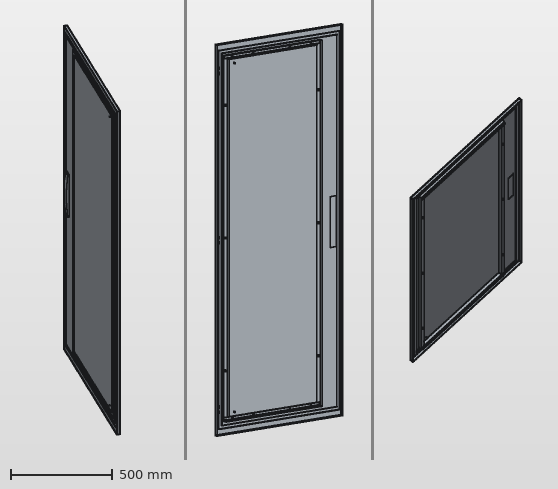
import cadquery as cq

DOOR_WIDTH = 760.0
DOOR_HEIGHT = 1984.0
DOOR_DEPTH = 16.5
SHEET = 1.5

GASKET_LEFT = 14.0
GASKET_RIGHT = 18.0
GASKET_END = 32.0
GASKET_WIDTH = 15.0
GASKET_BACK = 10.0

FRAME_LEFT = 123.0
FRAME_RIGHT = 55.0
FRAME_END = 63.0
FRAME_BAR = 20.0
FRAME_BACK = 19.5

STRIP_END = 67.0
STRIP_HEIGHT = 14.0
STRIP_CHAMFER = 5.0
FITTINGS_BACK = 24.8

BAR_STUD_DIAMETER = 9.0
BAR_STUD_PITCH = 675.0

BAR_HOLE_DIAMETER = 5.0
BAR_HOLE_OFFSETS = (110.0, 236.0)
BAR_HOLE_END = 71.0

SHEET_STUD_DIAMETER = 5.0
SHEET_STUD_LENGTH = 8.0
SHEET_STUD_RIGHT = 110.0
SHEET_STUD_END = 107.0

HINGE_HOLE_DIAMETER = 11.0
HINGE_HOLE_INSET = 11.5
HINGE_HOLE_SPACING = 25.0
HINGE_PITCH = 860.0

HANDLE_LEFT = 40.0
HANDLE_WIDTH = 35.0
HANDLE_LENGTH = 258.0
HANDLE_END_DEPTH = 8.0
HANDLE_MID_DEPTH = 14.9

LEFT = -DOOR_WIDTH / 2
RIGHT = DOOR_WIDTH / 2
TOP = DOOR_HEIGHT / 2


def block(x_min, x_max, y_min, y_max, half_height):
    """Box between the given X and Y limits, centred on Z = 0."""
    size = (x_max - x_min, y_max - y_min, 2 * half_height)
    return cq.Workplane("XY").box(*size, centered=False).translate((x_min, y_min, -half_height))


def ring(left, right, end, width, back):
    """Rectangular frame on the back of the sheet, given its insets from the door edges."""
    outer = block(LEFT + left, RIGHT - right, SHEET, back, TOP - end)
    inner = block(LEFT + left + width, RIGHT - right - width, SHEET, back, TOP - end - width)
    return outer.cut(inner)


def rods(points, diameter, y_min, y_max):
    """Round rods along Y at the given (x, z) points."""
    plane = cq.Workplane("XZ", origin=(0, y_min, 0))
    return plane.pushPoints(points).circle(diameter / 2).extrude(y_min - y_max)


def make_pan():
    outer = block(LEFT, RIGHT, 0, DOOR_DEPTH, TOP)
    return outer.cut(block(LEFT + SHEET, RIGHT - SHEET, SHEET, DOOR_DEPTH, TOP - SHEET))


def make_frame():
    frame = ring(FRAME_LEFT, FRAME_RIGHT, FRAME_END, FRAME_BAR, FRAME_BACK)
    x_left = LEFT + FRAME_LEFT
    x_right = RIGHT - FRAME_RIGHT
    x_middle = (x_left + x_right) / 2

    half_height = TOP - STRIP_END
    plate = block(x_left, x_right, FRAME_BACK, FITTINGS_BACK, half_height)
    plate = plate.edges("|Y").chamfer(STRIP_CHAMFER)
    strips = plate.cut(block(x_left, x_right, FRAME_BACK, FITTINGS_BACK, half_height - STRIP_HEIGHT))
    frame = frame.union(strips)

    stud_x = (x_left + FRAME_BAR / 2, x_right - FRAME_BAR / 2)
    stud_z = (-BAR_STUD_PITCH, 0, BAR_STUD_PITCH)
    stud_points = [(x, z) for x in stud_x for z in stud_z]
    frame = frame.union(rods(stud_points, BAR_STUD_DIAMETER, FRAME_BACK, FITTINGS_BACK))

    hole_z = TOP - BAR_HOLE_END
    hole_points = [
        (x_middle + side * offset, z)
        for side in (-1, 1)
        for offset in BAR_HOLE_OFFSETS
        for z in (-hole_z, hole_z)
    ]
    return frame.cut(rods(hole_points, BAR_HOLE_DIAMETER, SHEET, FITTINGS_BACK))


def make_sheet_studs():
    x = RIGHT - SHEET_STUD_RIGHT
    z = TOP - SHEET_STUD_END
    return rods([(x, -z), (x, z)], SHEET_STUD_DIAMETER, SHEET, SHEET + SHEET_STUD_LENGTH)


def make_hinge_holes():
    x = RIGHT - HINGE_HOLE_INSET
    points = [
        (x, hinge_z + side * HINGE_HOLE_SPACING / 2)
        for hinge_z in (-HINGE_PITCH, 0, HINGE_PITCH)
        for side in (-1, 1)
    ]
    return rods(points, HINGE_HOLE_DIAMETER, 0, SHEET)


def make_door():
    door = make_pan()
    door = door.union(ring(GASKET_LEFT, GASKET_RIGHT, GASKET_END, GASKET_WIDTH, GASKET_BACK))
    door = door.union(make_frame())
    door = door.union(make_sheet_studs())
    return door.cut(make_hinge_holes())


def make_handle():
    half_length = HANDLE_LENGTH / 2
    return (
        cq.Workplane("YZ", origin=(LEFT + HANDLE_LEFT, 0, 0))
        .moveTo(0, -half_length)
        .lineTo(-HANDLE_END_DEPTH, -half_length)
        .threePointArc((-HANDLE_MID_DEPTH, 0), (-HANDLE_END_DEPTH, half_length))
        .lineTo(0, half_length)
        .close()
        .extrude(HANDLE_WIDTH)
    )


door = make_door()
handle = make_handle()

result = cq.Compound.makeCompound([door.val(), handle.val()])